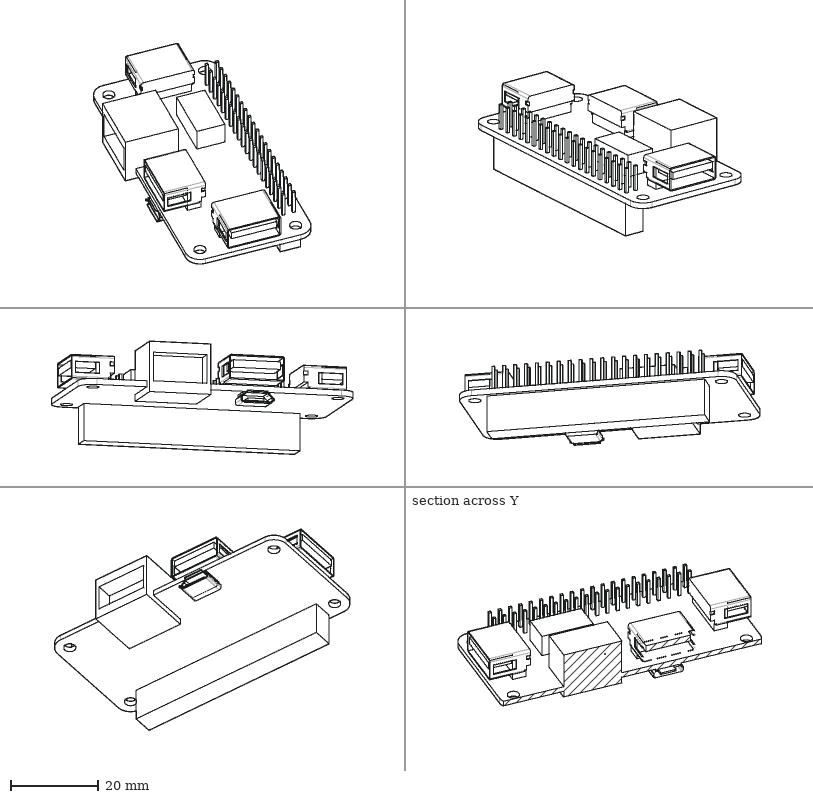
import cadquery as cq

BOARD_LENGTH = 65.0
BOARD_WIDTH = 30.5
BOARD_THICKNESS = 1.4
CORNER_RADIUS = 3.5
MOUNT_HOLE_DIAMETER = 2.75
BOARD_FRONT = -BOARD_WIDTH / 2

TOTAL_WIDTH = 33.1
TOTAL_HEIGHT = 18.85

PIN_ROWS = 2
PIN_COLUMNS = 20
PIN_PITCH = 2.56
PIN_ROW_PITCH = 2.54
PIN_SIDE = 0.65
PIN_TOP = 7.45
HEADER_CENTRE_Y = 11.75
HEADER_LENGTH = PIN_COLUMNS * PIN_PITCH
HEADER_WIDTH = 5.0

JACK_LENGTH = 14.5
JACK_DEPTH = 13.0
JACK_CENTRE_X = -9.9
JACK_FRONT = BOARD_WIDTH / 2 - TOTAL_WIDTH
JACK_TOP = 10.2
JACK_BOTTOM = -1.55
JACK_OPENING_LENGTH = 12.6
JACK_OPENING_BOTTOM = 1.0
JACK_OPENING_TOP = 7.65
JACK_OPENING_DEPTH = 4.0

HEADER_BOTTOM = JACK_TOP - TOTAL_HEIGHT

CHIP_LENGTH = 12.8
CHIP_WIDTH = 6.9
CHIP_CENTRE = (-10.4, 3.65)
CHIP_TOP = 6.75

USB_WIDTH = 13.1
USB_BOTTOM = 2.75
USB_TOP = 8.5
USB_WALL = 0.3
USB_EDGE_RADIUS = 0.6
USB_LENGTH = 10.1
USB_LOWER_LENGTH = 9.1
USB_FLOOR_LENGTH = 8.65
USB_STEP_Z = 4.5
USB_PLUG_START = 5.75
USB_TONGUE_WIDTH = 11.2
USB_TONGUE_BOTTOM = 5.5
USB_TONGUE_TOP = 7.25
USB_WINDOW_START = 0.85
USB_WINDOW_END = 6.55
USB_WINDOW_BOTTOM = 4.3
USB_WINDOW_TOP = 6.85
USB_NOTCH_BOTTOM = 6.2
USB_NOTCH_TOP = 7.1
SIDE_USB_CENTRE_Y = 0.2
FRONT_USB_CENTRE_X = 8.95

MICRO_TOP = 0.0
MICRO_SHOULDER_Z = -1.1
MICRO_BOTTOM = -2.4
MICRO_TOP_HALF = 2.6
MICRO_WIDE_HALF = 3.75
MICRO_CORNER_RADIUS = 0.5
MICRO_LENGTH = 5.15
MICRO_WALL = 0.25
MICRO_CAVITY_DEPTH = 4.0
MICRO_TONGUE_RECESS = 1.0
MICRO_TONGUE_WIDTH = 3.8
MICRO_TONGUE_BOTTOM = -1.85
MICRO_TONGUE_TOP = -1.3
MICRO_BASE_HALF = 3.2
MICRO_BASE_BOTTOM = -0.45
MICRO_BASE_SETBACK = 0.3
LIP_REACH = 0.55
LIP_RISE = 0.25
TOP_LIP_WIDTH = 4.8
BOTTOM_LIP_WIDTH = 6.2
SIDE_LIP_BOTTOM = -1.95
SIDE_LIP_TOP = -1.5


def box(x_range, y_range, z_range):
    """Axis-aligned box from (low, high) pairs."""
    x0, x1 = x_range
    y0, y1 = y_range
    z0, z1 = z_range
    return cq.Workplane("XY").box(x1 - x0, y1 - y0, z1 - z0, centered=False).translate((x0, y0, z0))


def span(centre, length):
    """(low, high) pair of a length about its centre."""
    return (centre - length / 2, centre + length / 2)


def make_board():
    plate = box(span(0, BOARD_LENGTH), span(0, BOARD_WIDTH), (0, BOARD_THICKNESS))
    plate = plate.edges("|Z").fillet(CORNER_RADIUS)
    holes = (
        cq.Workplane("XY")
        .rect(BOARD_LENGTH - 2 * CORNER_RADIUS, BOARD_WIDTH - 2 * CORNER_RADIUS, forConstruction=True)
        .vertices()
        .circle(MOUNT_HOLE_DIAMETER / 2)
        .extrude(BOARD_THICKNESS)
    )
    return plate.cut(holes)


def make_header():
    socket = box(span(0, HEADER_LENGTH), span(HEADER_CENTRE_Y, HEADER_WIDTH), (HEADER_BOTTOM, 0))
    pins = (
        cq.Workplane("XY")
        .center(0, HEADER_CENTRE_Y)
        .rarray(PIN_PITCH, PIN_ROW_PITCH, PIN_COLUMNS, PIN_ROWS)
        .rect(PIN_SIDE, PIN_SIDE)
        .extrude(PIN_TOP)
    )
    return socket.union(pins)


def make_jack():
    y_range = (JACK_FRONT, JACK_FRONT + JACK_DEPTH)
    return box(span(JACK_CENTRE_X, JACK_LENGTH), y_range, (JACK_BOTTOM, JACK_TOP))


def make_jack_opening():
    y_range = (JACK_FRONT, JACK_FRONT + JACK_OPENING_DEPTH)
    z_range = (JACK_OPENING_BOTTOM, JACK_OPENING_TOP)
    return box(span(JACK_CENTRE_X, JACK_OPENING_LENGTH), y_range, z_range)


def make_chip():
    centre_x, centre_y = CHIP_CENTRE
    return box(span(centre_x, CHIP_LENGTH), span(centre_y, CHIP_WIDTH), (0, CHIP_TOP))


def make_usb_socket():
    full_width = span(0, USB_WIDTH)
    inner_width = span(0, USB_WIDTH - 2 * USB_WALL)
    shell = box(full_width, (0, USB_LENGTH), (USB_BOTTOM, USB_TOP))
    shell = shell.edges("|Y").fillet(USB_EDGE_RADIUS)
    shell = shell.cut(box(full_width, (USB_LOWER_LENGTH, USB_LENGTH), (USB_BOTTOM, USB_STEP_Z)))
    floor_edge_top = USB_BOTTOM + USB_EDGE_RADIUS
    shell = shell.cut(box(full_width, (USB_FLOOR_LENGTH, USB_LENGTH), (USB_BOTTOM, floor_edge_top)))
    shell = shell.cut(box(inner_width, (0, USB_PLUG_START), (USB_BOTTOM + USB_WALL, USB_TOP - USB_WALL)))
    for wall in (
        (-USB_WIDTH / 2, -USB_WIDTH / 2 + USB_WALL),
        (USB_WIDTH / 2 - USB_WALL, USB_WIDTH / 2),
    ):
        window_y = (USB_WINDOW_START, USB_WINDOW_END)
        shell = shell.cut(box(wall, window_y, (USB_WINDOW_BOTTOM, USB_WINDOW_TOP)))
        notch_y = (USB_LOWER_LENGTH, USB_LENGTH)
        shell = shell.cut(box(wall, notch_y, (USB_NOTCH_BOTTOM, USB_NOTCH_TOP)))
    insulator = box(inner_width, (USB_PLUG_START, USB_LOWER_LENGTH), (BOARD_THICKNESS, USB_STEP_Z))
    tongue = box(
        span(0, USB_TONGUE_WIDTH),
        (0, USB_PLUG_START),
        (USB_TONGUE_BOTTOM, USB_TONGUE_TOP),
    )
    return shell.union(insulator).union(tongue)


def make_usb_sockets():
    socket = make_usb_socket()
    origin = (0, 0, 0)
    z_axis = (0, 0, 1)
    front = socket.translate((FRONT_USB_CENTRE_X, BOARD_FRONT, 0))
    left = socket.rotate(origin, z_axis, -90).translate((-BOARD_LENGTH / 2, SIDE_USB_CENTRE_Y, 0))
    right = socket.rotate(origin, z_axis, 90).translate((BOARD_LENGTH / 2, SIDE_USB_CENTRE_Y, 0))
    return [front, left, right]


def micro_outline():
    """Micro USB shell outline on the XZ plane: sloping shoulders and rounded lower corners."""
    corner_z = MICRO_BOTTOM + MICRO_CORNER_RADIUS
    bottom_half = MICRO_WIDE_HALF - MICRO_CORNER_RADIUS
    return (
        cq.Workplane("XZ")
        .moveTo(-MICRO_TOP_HALF, MICRO_TOP)
        .lineTo(MICRO_TOP_HALF, MICRO_TOP)
        .lineTo(MICRO_WIDE_HALF, MICRO_SHOULDER_Z)
        .lineTo(MICRO_WIDE_HALF, corner_z)
        .tangentArcPoint((bottom_half, MICRO_BOTTOM), relative=False)
        .lineTo(-bottom_half, MICRO_BOTTOM)
        .tangentArcPoint((-MICRO_WIDE_HALF, corner_z), relative=False)
        .lineTo(-MICRO_WIDE_HALF, MICRO_SHOULDER_Z)
        .close()
    )


def flared_lip(root, direction, width_range, on_side=False):
    """Thin plate leaning outwards from the shell mouth.

    root is the Z (or, on a side, the X) of the outer face of the wall it grows from.
    """
    outline = [
        (0, root - direction * MICRO_WALL),
        (0, root),
        (-LIP_REACH, root + direction * LIP_RISE),
        (-LIP_REACH, root + direction * (LIP_RISE - MICRO_WALL)),
    ]
    low, high = width_range
    if on_side:
        outline = [(across, along) for along, across in outline]
        return cq.Workplane("XY", origin=(0, 0, low)).polyline(outline).close().extrude(high - low)
    return cq.Workplane("YZ", origin=(low, 0, 0)).polyline(outline).close().extrude(high - low)


def make_micro_usb():
    shell = micro_outline().extrude(-MICRO_LENGTH)
    cavity = micro_outline().offset2D(-MICRO_WALL).extrude(-MICRO_CAVITY_DEPTH)
    tongue = box(
        span(0, MICRO_TONGUE_WIDTH),
        (MICRO_TONGUE_RECESS, MICRO_CAVITY_DEPTH),
        (MICRO_TONGUE_BOTTOM, MICRO_TONGUE_TOP),
    )
    base = box(
        (-MICRO_BASE_HALF, MICRO_BASE_HALF),
        (MICRO_BASE_SETBACK, MICRO_LENGTH),
        (MICRO_BASE_BOTTOM, MICRO_TOP),
    )
    body = shell.union(base).cut(cavity).union(tongue)
    side_range = (SIDE_LIP_BOTTOM, SIDE_LIP_TOP)
    lips = [
        flared_lip(MICRO_TOP, 1, span(0, TOP_LIP_WIDTH)),
        flared_lip(MICRO_BOTTOM, -1, span(0, BOTTOM_LIP_WIDTH)),
        flared_lip(MICRO_WIDE_HALF, 1, side_range, on_side=True),
        flared_lip(-MICRO_WIDE_HALF, -1, side_range, on_side=True),
    ]
    for lip in lips:
        body = body.union(lip)
    return body.translate((FRONT_USB_CENTRE_X, BOARD_FRONT, 0))


result = make_board().union(make_header()).union(make_chip())
result = result.union(make_jack()).cut(make_jack_opening())
for usb in make_usb_sockets():
    result = result.union(usb)
result = result.union(make_micro_usb())